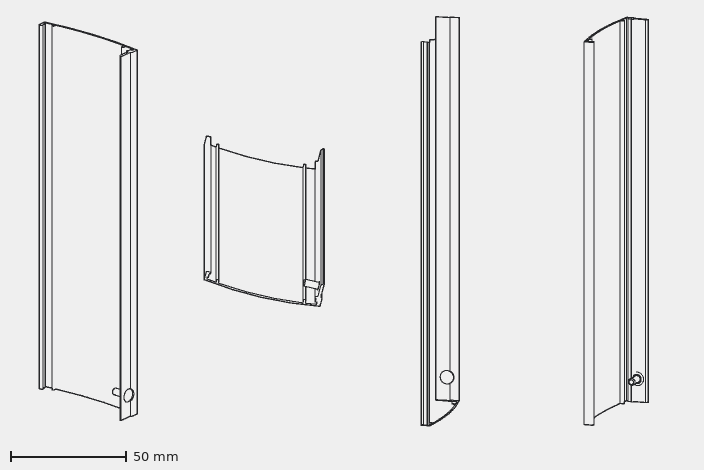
import cadquery as cq
import math

LENGTH = 170.0
WIDTH = 51.7
DEPTH = 12.4

ARCH_RISE = 2.0
PANEL_THICKNESS = 0.8

LEFT_WALL = 1.0
WALL_BOTTOM = -6.1
LIP_WIDTH = 2.0
LIP_HEIGHT = 0.8
LIP_STEP_WIDTH = 1.5
LIP_STEP_TOP = -3.5

RIB_WIDTH = 1.0
RIB_BOTTOM = -3.5
RIB_LEFT_EDGES = (5.3, 44.0)
RIB_ROOT = -1.4

NECK_X = 50.0
STEP_X = 49.1
STEP_TOP = -3.5
PAD_X = 48.6
PAD_TOP = -5.1
BLADE_INNER_X = 49.6
BLADE_OUTER_X = 51.0
BLADE_CHAMFER = 0.8

CORNER_RADIUS = 0.3
OUTER_CORNER_RADIUS = 0.5
ROOT_RADIUS = 0.5
EDGE_TOLERANCE = 0.08

PIN_DIAMETER = 3.0
PIN_TIP_X = 43.0
PIN_CHAMFER = 0.5
PIN_FLARE = 0.5
PIN_Y = -7.5
PIN_Z = 10.2
HEAD_DIAMETER = 6.0
HEAD_THICKNESS = 0.8
HEAD_X = BLADE_OUTER_X - HEAD_THICKNESS


def extrude_outline(points):
    return cq.Workplane("XY").polyline(points).close().extrude(LENGTH)


def round_edges(body, corners, radius):
    """Round the long edges that pass through the given XY corners."""
    for x, y in corners:
        selector = cq.selectors.BoxSelector(
            (x - EDGE_TOLERANCE, y - EDGE_TOLERANCE, 0),
            (x + EDGE_TOLERANCE, y + EDGE_TOLERANCE, LENGTH),
        )
        body = body.edges(selector).edges("|Z").fillet(radius)
    return body


def cylinder_x(diameter, start_x, end_x):
    """Cylinder on the pin axis between two X positions."""
    return (
        cq.Workplane("YZ", origin=(start_x, PIN_Y, PIN_Z))
        .circle(diameter / 2)
        .extrude(end_x - start_x)
    )


def make_panel():
    mid_x = WIDTH / 2
    return (
        cq.Workplane("XY")
        .moveTo(0, -ARCH_RISE)
        .threePointArc((mid_x, 0), (WIDTH, -ARCH_RISE))
        .lineTo(WIDTH, -ARCH_RISE - PANEL_THICKNESS)
        .threePointArc((mid_x, -PANEL_THICKNESS), (0, -ARCH_RISE - PANEL_THICKNESS))
        .close()
        .extrude(LENGTH)
    )


def panel_inner_y(x):
    """Y of the panel's inner arc at a given X."""
    half_width = WIDTH / 2
    radius = (half_width**2 + ARCH_RISE**2) / (2 * ARCH_RISE)
    return math.sqrt(radius**2 - (x - half_width)**2) - radius - PANEL_THICKNESS


def make_left_wall():
    lip_top = WALL_BOTTOM + LIP_HEIGHT
    wall = extrude_outline([
        (0, -ARCH_RISE),
        (0, WALL_BOTTOM),
        (LIP_WIDTH, WALL_BOTTOM),
        (LIP_WIDTH, lip_top),
        (LIP_STEP_WIDTH, lip_top),
        (LIP_STEP_WIDTH, LIP_STEP_TOP),
        (LEFT_WALL, LIP_STEP_TOP),
        (LEFT_WALL, -ARCH_RISE),
    ])
    wall = round_edges(wall, [(0, WALL_BOTTOM)], OUTER_CORNER_RADIUS)
    corners = [(LIP_WIDTH, WALL_BOTTOM), (LIP_WIDTH, lip_top)]
    return round_edges(wall, corners, CORNER_RADIUS)


def make_right_wall():
    wall = extrude_outline([
        (WIDTH, -ARCH_RISE),
        (WIDTH, WALL_BOTTOM),
        (BLADE_OUTER_X, WALL_BOTTOM),
        (BLADE_OUTER_X, -DEPTH),
        (BLADE_INNER_X + BLADE_CHAMFER, -DEPTH),
        (BLADE_INNER_X, -DEPTH + BLADE_CHAMFER),
        (BLADE_INNER_X, WALL_BOTTOM),
        (PAD_X, WALL_BOTTOM),
        (PAD_X, PAD_TOP),
        (STEP_X, PAD_TOP),
        (STEP_X, STEP_TOP),
        (NECK_X, STEP_TOP),
        (NECK_X, -ARCH_RISE),
    ])
    wall = round_edges(wall, [(BLADE_INNER_X, WALL_BOTTOM)], ROOT_RADIUS)
    wall = round_edges(wall, [(WIDTH, WALL_BOTTOM)], OUTER_CORNER_RADIUS)
    corners = [(PAD_X, WALL_BOTTOM), (PAD_X, PAD_TOP)]
    return round_edges(wall, corners, CORNER_RADIUS)


def make_rib(left_x):
    """Rib with rounded lower corners."""
    right_x = left_x + RIB_WIDTH
    rib = extrude_outline([
        (left_x, RIB_ROOT),
        (left_x, RIB_BOTTOM),
        (right_x, RIB_BOTTOM),
        (right_x, RIB_ROOT),
    ])
    return round_edges(rib, [(left_x, RIB_BOTTOM), (right_x, RIB_BOTTOM)], CORNER_RADIUS)


def make_profile():
    profile = make_panel().union(make_left_wall()).union(make_right_wall())
    for left_x in RIB_LEFT_EDGES:
        profile = profile.union(make_rib(left_x))
        right_x = left_x + RIB_WIDTH
        profile = round_edges(profile, [(right_x, panel_inner_y(right_x))], ROOT_RADIUS)
    bore = cylinder_x(PIN_DIAMETER, PIN_TIP_X, HEAD_X)
    recess = cylinder_x(HEAD_DIAMETER, HEAD_X, WIDTH)
    return profile.cut(bore).cut(recess).cut(make_flare())


def make_flare():
    """Concave round that widens the shank where it meets the blade's inner face."""
    radius = PIN_DIAMETER / 2
    start_x = BLADE_INNER_X - PIN_FLARE
    inset = PIN_FLARE * math.sqrt(0.5)
    return (
        cq.Workplane("XY", origin=(0, PIN_Y, PIN_Z))
        .moveTo(start_x, 0)
        .lineTo(start_x, radius)
        .threePointArc(
            (start_x + inset, radius + PIN_FLARE - inset),
            (BLADE_INNER_X, radius + PIN_FLARE),
        )
        .lineTo(BLADE_INNER_X, 0)
        .close()
        .revolve(360, (0, 0, 0), (1, 0, 0))
    )


def make_pin():
    shank = cylinder_x(PIN_DIAMETER, PIN_TIP_X, HEAD_X).faces("<X").chamfer(PIN_CHAMFER)
    head = cylinder_x(HEAD_DIAMETER, HEAD_X, BLADE_OUTER_X)
    return shank.union(make_flare()).union(head)


profile = make_profile()
pin = make_pin()

result = cq.Compound.makeCompound([profile.val(), pin.val()])